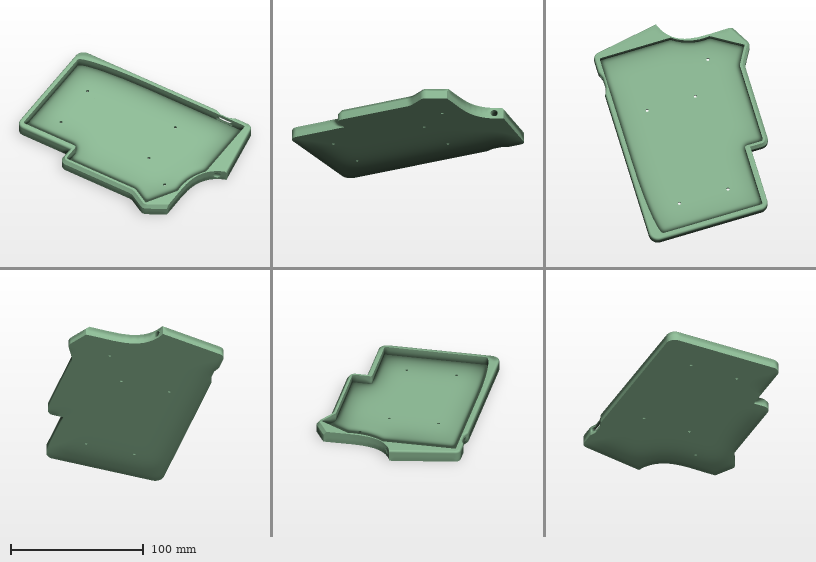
import math

import cadquery as cq

length = 161.5
width = 115.3
height = 8.5
floor_thickness = 2.0

left_block_bottom = 22.5
step_x = 47.3
nose_x = 126.6
nose_half_width = 15.2
nose_angle = math.radians(30)
nose_radius = 5.2
bend_radius = 9.5
right_end_x = 142.4
slant_angle = math.radians(10)
tip_y = 63.0
top_left_radius = 7.0
bottom_left_radius = 6.5
step_radius = 5.8
top_right_radius = 4.7
arm_waist = (142.2, 32.3)
arm_curve = [(147.7, 53.3), (153.7, 59.3)]

nose_y = -nose_radius * (1 / math.cos(nose_angle) - 1)
lower_edge_y = nose_y + nose_half_width * math.tan(nose_angle)
bend_x = nose_x - nose_half_width
right_end_y = nose_y + (right_end_x - nose_x) * math.tan(nose_angle)
top_right_x = length - (width - tip_y) * math.tan(slant_angle)

rim_radius = 1.6
chamfer_width = 2.1
chamfer_height = 2.6

notch_x = 129.0
notch_top_width = 17.5
notch_bottom_width = 7.5
notch_depth = 2.1
slot_width = 14.2
slot_height = 3.5
slot_corner_radius = 1.3
slot_x = 129.8
slot_z = 4.0

left_wall = 4.0
front_wall = 4.2
lower_wall = 3.9
back_wall = 3.9
pocket_right = 148.0
arm_wall_top = (pocket_right, 55.4)
arm_wall_middle = (142.7, 45.5)
arm_wall_bottom = (140.6, 27.0)
sweep_length = 58.5
sweep_drop = 6.8
pocket_radius = 1.1
pocket_step_radius = 1.8

screw_hole_diameter = 2.3
screw_holes = [(24.4, 86.0), (100.6, 88.3), (24.4, 47.8), (100.6, 50.4), (125.3, 33.0)]
arm_hole_diameter = 5.0
arm_hole_start = (156.0, 54.9)
arm_hole_z = 4.4
arm_hole_length = 22.6


def round_corner(body, point, radius):
    """Round the vertical edge of the body nearest to a plan point."""
    corner = cq.selectors.NearestToPointSelector((point[0], point[1], height / 2))
    return body.edges("|Z").edges(corner).fillet(radius)


def plate():
    """Solid plate with its plan corners rounded."""
    notch_floor = width - notch_depth
    body = (
        cq.Workplane("XY")
        .moveTo(0, left_block_bottom)
        .lineTo(step_x, left_block_bottom)
        .lineTo(step_x, lower_edge_y)
        .lineTo(bend_x, lower_edge_y)
        .lineTo(nose_x, nose_y)
        .lineTo(right_end_x, right_end_y)
        .spline([arm_waist] + arm_curve + [(length, tip_y)], includeCurrent=True)
        .lineTo(top_right_x, width)
        .lineTo(notch_x + notch_top_width / 2, width)
        .lineTo(notch_x + notch_bottom_width / 2, notch_floor)
        .lineTo(notch_x - notch_bottom_width / 2, notch_floor)
        .lineTo(notch_x - notch_top_width / 2, width)
        .lineTo(0, width)
        .close()
        .extrude(height)
    )
    corners = [
        ((0, left_block_bottom), bottom_left_radius),
        ((step_x, lower_edge_y), step_radius),
        ((bend_x, lower_edge_y), bend_radius),
        ((nose_x, nose_y), nose_radius),
        ((top_right_x, width), top_right_radius),
        ((0, width), top_left_radius),
    ]
    for point, radius in corners:
        body = round_corner(body, point, radius)
    return body


def is_lower_front(edge):
    """Tell whether an edge runs along the step, the lower front or the nose."""
    middle = edge.positionAt(0.5)
    return middle.x > step_x - rim_radius and middle.y < left_block_bottom - rim_radius


def finish_rim(body):
    """Chamfer the lower front of the top rim and round the rest, leaving the arm curve sharp."""
    top_edges = body.faces(">Z").edges().vals()
    rim = [edge for edge in top_edges if edge.geomType() != "BSPLINE"]
    lower_front = [edge for edge in rim if is_lower_front(edge)]
    body = body.newObject(lower_front).chamfer(chamfer_height, chamfer_width)
    top_edges = body.faces(">Z").edges().vals()
    rest = [edge for edge in top_edges if edge.geomType() != "BSPLINE" and not is_lower_front(edge)]
    return body.newObject(rest).fillet(rim_radius)


def pocket():
    """Cutter for the open pocket, with an elliptical sweep at its back left."""
    left = left_wall
    front = left_block_bottom + front_wall
    step = step_x + lower_wall
    lower = lower_edge_y + lower_wall
    back = width - back_wall
    nose_tip = nose_y + lower_wall / math.cos(nose_angle)
    bend = nose_x - (lower - nose_tip) / math.tan(nose_angle)
    cutter = (
        cq.Workplane("XY", origin=(0, 0, floor_thickness))
        .moveTo(left, front)
        .lineTo(step, front)
        .lineTo(step, lower)
        .lineTo(bend, lower)
        .lineTo(nose_x, nose_tip)
        .lineTo(*arm_wall_bottom)
        .threePointArc(arm_wall_middle, arm_wall_top)
        .lineTo(pocket_right, back)
        .lineTo(left + sweep_length, back)
        .ellipseArc(sweep_length, sweep_drop, 90, 180, sense=1)
        .close()
        .extrude(height)
    )
    corners = [
        ((left, front), pocket_radius),
        ((step, front), pocket_step_radius),
        ((step, lower), pocket_step_radius),
        ((pocket_right, back), pocket_radius),
    ]
    for point, radius in corners:
        cutter = round_corner(cutter, point, radius)
    return cutter


def connector_slot():
    """Cutter for the rounded connector slot through the back wall."""
    return (
        cq.Workplane("XZ", origin=(slot_x, width, slot_z))
        .rect(slot_width, slot_height)
        .extrude(back_wall + rim_radius, both=True)
        .edges("|Y")
        .fillet(slot_corner_radius)
    )


def arm_hole():
    """Cutter for the blind hole that runs into the arm parallel to its slanted side."""
    direction = cq.Vector(-math.sin(slant_angle), math.cos(slant_angle), 0)
    start = cq.Vector(arm_hole_start[0], arm_hole_start[1], arm_hole_z)
    return cq.Solid.makeCylinder(arm_hole_diameter / 2, arm_hole_length, start, direction)


def screw_hole_cutters():
    """Cutters for the screw holes through the floor."""
    return cq.Workplane("XY").pushPoints(screw_holes).circle(screw_hole_diameter / 2).extrude(height)


body = finish_rim(plate())
body = body.cut(pocket())
body = body.cut(connector_slot())
body = body.cut(cq.Workplane(obj=arm_hole()))
result = body.cut(screw_hole_cutters())